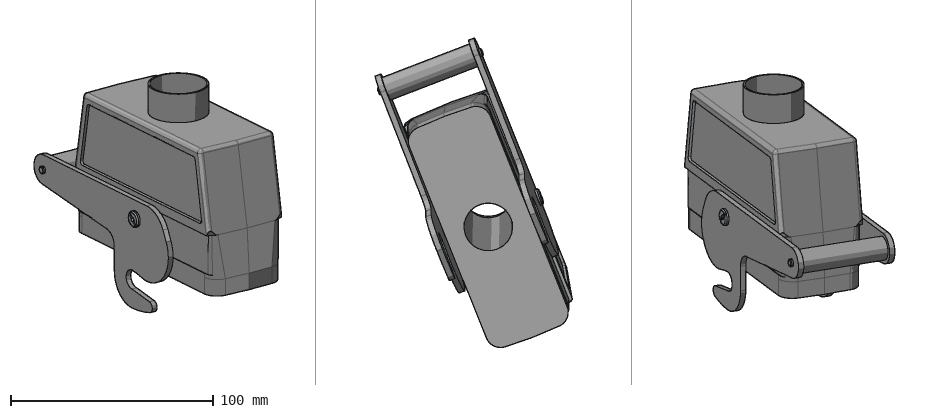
import cadquery as cq
import math

END_SLOPE = 0.035

BASE_HALF_LENGTH = 60.0
BASE_HALF_WIDTH = 21.5
BASE_CORNER = 7.6
BASE_TOP = 8.8

WAIST_TOP = 32.1
WAIST_HALF_LENGTH = 58.2
WAIST_CORNER = 4.2

PANEL_BOTTOM = 11.0
PANEL_HALF_LENGTH = 56.8
PANEL_HALF_WIDTH = 21.2
PANEL_ROUND = 2.2

CAP_TOP = 75.5
CAP_HALF_WIDTH = 22.8
CAP_TOP_HALF_LENGTH = 50.4
CAP_ROUND = 2.2
CORNER_CUT_X = 1.8
CORNER_CUT_Y = 4.1
CORNER_CUT_Z = 7.3

LABEL_TOP = 70.7
LABEL_BOTTOM = 37.0
LABEL_TOP_HALF_LENGTH = 45.7
LABEL_BOTTOM_HALF_LENGTH = 51.7
LABEL_CORNER = 1.8
LABEL_DEPTH = 1.3
LABEL_WALL_ANGLE = 15.0

TUBE_TOP = 90.5
TUBE_DIAMETER = 30.0
SOCKET_DIAMETER = 28.3
SOCKET_DEPTH = 13.9
BORE_DIAMETER = 24.0

PLATE_INNER = 23.4
PLATE_THICKNESS = 2.9
PLATE_OUTER = PLATE_INNER + PLATE_THICKNESS

GRIP_X = -78.1
GRIP_Z = 26.7
GRIP_DIAMETER = 12.0
GRIP_END_RADIUS = 7.9
ARM_ANGLE = math.radians(7.1)

SHOULDER_X = 9.8
SHOULDER_RADIUS = 15.3
CAM_X = 10.0
CAM_Z = 12.7
CAM_RADIUS = 18.0

HOOK_LEFT = -17.8
ARM_FILLET = 7.3
SLOT_X = -2.8
SLOT_Z = -8.2
SLOT_RADIUS = 5.0
TIP_X = 11.5
TIP_Z = -18.2
TIP_RADIUS = 2.9

RIVET_DIAMETER = 4.0
RIVET_HEIGHT = 1.3
RIVET_CHAMFER = 0.5

PIVOT_X = 0.0
PIVOT_Z = 24.8
PIVOT_DIAMETER = 5.4
PIVOT_HEAD_DIAMETER = 8.5
PIVOT_HEAD_HEIGHT = 1.8
PIVOT_HEAD_CHAMFER = 0.7
DRIVE_SLOT_WIDTH = 1.2
DRIVE_SLOT_DEPTH = 0.9
DRIVE_SLOT_ANGLE = 45.0
DRIVE_HOLE_DIAMETER = 2.2
DRIVE_HOLE_DEPTH = 1.5


def round_plan(z, half_length, half_width, corner):
    """Closed outline at height z: ridged ends, with corners tangent to the side and end faces."""
    tilt = math.atan(END_SLOPE)
    centre_y = half_width - corner
    centre_x = half_length - centre_y * END_SLOPE - corner / math.cos(tilt)

    def on_corner(angle, sign_x, sign_y):
        x = centre_x + corner * math.cos(angle)
        y = centre_y + corner * math.sin(angle)
        return (sign_x * x, sign_y * y)

    start, end = tilt, math.pi / 2
    middle = (start + end) / 2
    return (
        cq.Workplane("XY", origin=(0, 0, z))
        .moveTo(half_length, 0)
        .lineTo(*on_corner(start, 1, 1))
        .threePointArc(on_corner(middle, 1, 1), on_corner(end, 1, 1))
        .lineTo(*on_corner(end, -1, 1))
        .threePointArc(on_corner(middle, -1, 1), on_corner(start, -1, 1))
        .lineTo(-half_length, 0)
        .lineTo(*on_corner(start, -1, -1))
        .threePointArc(on_corner(middle, -1, -1), on_corner(end, -1, -1))
        .lineTo(*on_corner(end, 1, -1))
        .threePointArc(on_corner(middle, 1, -1), on_corner(start, 1, -1))
        .close()
    )


def sharp_plan(z, half_length):
    """Closed outline of the cap at height z: a long hexagon with a shallow ridge at each end."""
    corner_x = half_length - CAP_HALF_WIDTH * END_SLOPE
    points = [
        (half_length, 0), (corner_x, CAP_HALF_WIDTH), (-corner_x, CAP_HALF_WIDTH),
        (-half_length, 0), (-corner_x, -CAP_HALF_WIDTH), (corner_x, -CAP_HALF_WIDTH),
    ]
    return cq.Workplane("XY", origin=(0, 0, z)).polyline(points).close()


def loft_between(lower, upper):
    """Ruled solid between two closed outlines."""
    wires = [lower.wires().val(), upper.wires().val()]
    return cq.Workplane(cq.Solid.makeLoft(wires, True))


def make_lower_hood():
    base_plan = (BASE_HALF_LENGTH, BASE_HALF_WIDTH, BASE_CORNER)
    base = round_plan(0, *base_plan).extrude(BASE_TOP)
    waist = loft_between(
        round_plan(BASE_TOP, *base_plan),
        round_plan(WAIST_TOP, WAIST_HALF_LENGTH, BASE_HALF_WIDTH, WAIST_CORNER),
    )
    panel_height = WAIST_TOP - PANEL_BOTTOM
    keep = (
        cq.Workplane("XY")
        .box(2 * BASE_HALF_LENGTH, 2 * BASE_HALF_WIDTH, PANEL_BOTTOM, centered=(True, True, False))
        .faces(">Z").workplane()
        .rect(2 * BASE_HALF_LENGTH, 2 * PANEL_HALF_WIDTH).extrude(panel_height)
    )
    panels = (
        cq.Workplane("XY", origin=(0, 0, PANEL_BOTTOM))
        .rect(2 * PANEL_HALF_LENGTH, 2 * PANEL_HALF_WIDTH).extrude(panel_height)
        .edges("|Z").fillet(PANEL_ROUND)
    )
    return base.union(waist.intersect(keep)).union(panels)


def make_corner_cutter(sign_x, sign_y):
    """Block whose slanted face trims one lower corner of the cap."""
    corner_x = WAIST_HALF_LENGTH - CAP_HALF_WIDTH * END_SLOPE
    face = cq.Plane(
        origin=(sign_x * (corner_x - CORNER_CUT_X), sign_y * CAP_HALF_WIDTH, WAIST_TOP),
        normal=(sign_x / CORNER_CUT_X, sign_y / CORNER_CUT_Y, -1 / CORNER_CUT_Z),
    )
    size = 4 * CORNER_CUT_Z
    return cq.Workplane(face).rect(size, size).extrude(size)


def make_cap():
    cap = loft_between(
        sharp_plan(WAIST_TOP, WAIST_HALF_LENGTH), sharp_plan(CAP_TOP, CAP_TOP_HALF_LENGTH)
    )
    corners = cap.edges("<Y or >Y").edges("not #Z")
    cap = cap.newObject(corners.vals() + cap.faces(">Z").edges().vals()).fillet(CAP_ROUND)
    for sign_x in (1, -1):
        for sign_y in (1, -1):
            cap = cap.cut(make_corner_cutter(sign_x, sign_y))
    return cap


def make_label_recess(side):
    """Tapered cutter for the recess in the side of the cap towards +Y (side 1) or -Y (side -1)."""
    points = [
        (-LABEL_TOP_HALF_LENGTH, LABEL_TOP), (LABEL_TOP_HALF_LENGTH, LABEL_TOP),
        (LABEL_BOTTOM_HALF_LENGTH, LABEL_BOTTOM), (-LABEL_BOTTOM_HALF_LENGTH, LABEL_BOTTOM),
    ]
    outline = cq.Sketch().polygon(points + points[:1]).vertices().fillet(LABEL_CORNER)
    return (
        cq.Workplane("XZ", origin=(0, side * CAP_HALF_WIDTH, 0))
        .placeSketch(outline)
        .extrude(side * LABEL_DEPTH, taper=LABEL_WALL_ANGLE)
    )


def make_hood():
    hood = make_lower_hood().union(make_cap())
    for side in (1, -1):
        hood = hood.cut(make_label_recess(side))
    tube = (
        cq.Workplane("XY", origin=(0, 0, CAP_TOP))
        .circle(TUBE_DIAMETER / 2).extrude(TUBE_TOP - CAP_TOP)
    )
    hood = hood.union(tube)
    bore = cq.Workplane("XY").circle(BORE_DIAMETER / 2).extrude(TUBE_TOP)
    socket = (
        cq.Workplane("XY", origin=(0, 0, TUBE_TOP))
        .circle(SOCKET_DIAMETER / 2).extrude(-SOCKET_DEPTH)
    )
    return hood.cut(bore).cut(socket)


def polar(x, z, radius, angle):
    """Point on the circle around (x, z), with the angle in radians from +X towards +Z."""
    return (x + radius * math.cos(angle), z + radius * math.sin(angle))


def make_plate():
    """Side plate of the lever on the +Y side."""
    top = GRIP_Z + GRIP_END_RADIUS
    right, up, left, down = 0, math.pi / 2, math.pi, -math.pi / 2

    shoulder_z = top - SHOULDER_RADIUS
    dx, dz = CAM_X - SHOULDER_X, CAM_Z - shoulder_z
    edge = math.atan2(dz, dx) + math.acos((SHOULDER_RADIUS - CAM_RADIUS) / math.hypot(dx, dz))

    slot_entry = polar(SLOT_X, SLOT_Z, SLOT_RADIUS, up)
    cam_end = polar(CAM_X, CAM_Z, CAM_RADIUS, math.radians(-105))

    hook_radius = SLOT_X - HOOK_LEFT
    hook_bottom = SLOT_Z - hook_radius
    reach, rise = TIP_X - SLOT_X, TIP_Z - hook_bottom
    belly_radius = (reach**2 + rise**2 - TIP_RADIUS**2) / (2 * (rise - TIP_RADIUS))
    belly_end = math.atan2(rise - belly_radius, reach)

    arm_normal = down - ARM_ANGLE
    fillet_x = HOOK_LEFT - ARM_FILLET
    run = (fillet_x - GRIP_X) * math.sin(ARM_ANGLE)
    fillet_z = GRIP_Z - (GRIP_END_RADIUS + ARM_FILLET + run) / math.cos(ARM_ANGLE)
    fillet_end = arm_normal + math.pi

    outline = (
        cq.Workplane("XZ", origin=(0, PLATE_OUTER, 0))
        .moveTo(GRIP_X, top)
        .lineTo(SHOULDER_X, top)
        .threePointArc(
            polar(SHOULDER_X, shoulder_z, SHOULDER_RADIUS, (up + edge) / 2),
            polar(SHOULDER_X, shoulder_z, SHOULDER_RADIUS, edge),
        )
        .lineTo(*polar(CAM_X, CAM_Z, CAM_RADIUS, edge))
        .threePointArc(polar(CAM_X, CAM_Z, CAM_RADIUS, math.radians(-40)), cam_end)
        .tangentArcPoint(slot_entry, relative=False)
        .threePointArc(
            polar(SLOT_X, SLOT_Z, SLOT_RADIUS, left), polar(SLOT_X, SLOT_Z, SLOT_RADIUS, down)
        )
        .lineTo(*polar(TIP_X, TIP_Z, TIP_RADIUS, math.radians(80)))
        .threePointArc(
            polar(TIP_X, TIP_Z, TIP_RADIUS, right),
            polar(TIP_X, TIP_Z, TIP_RADIUS, belly_end),
        )
        .tangentArcPoint((SLOT_X, hook_bottom), relative=False)
        .threePointArc(
            polar(SLOT_X, SLOT_Z, hook_radius, math.radians(-135)), (HOOK_LEFT, SLOT_Z)
        )
        .lineTo(HOOK_LEFT, fillet_z)
        .threePointArc(
            polar(fillet_x, fillet_z, ARM_FILLET, fillet_end / 2),
            polar(fillet_x, fillet_z, ARM_FILLET, fillet_end),
        )
        .lineTo(*polar(GRIP_X, GRIP_Z, GRIP_END_RADIUS, arm_normal))
        .threePointArc(polar(GRIP_X, GRIP_Z, GRIP_END_RADIUS, left), (GRIP_X, top))
        .close()
    )
    return outline.extrude(PLATE_THICKNESS)


def outward_cylinder(x, z, start_y, diameter, length):
    """Cylinder along +Y that starts at start_y."""
    return cq.Workplane("XZ", origin=(x, start_y, z)).circle(diameter / 2).extrude(-length)


def make_rivet():
    rivet = outward_cylinder(GRIP_X, GRIP_Z, PLATE_OUTER, RIVET_DIAMETER, RIVET_HEIGHT)
    return rivet.faces(">Y").chamfer(RIVET_CHAMFER)


def make_pivot():
    """Slotted pivot screw on the +Y side, reaching in to the hood's side panel."""
    shank = outward_cylinder(
        PIVOT_X, PIVOT_Z, PANEL_HALF_WIDTH, PIVOT_DIAMETER, PLATE_OUTER - PANEL_HALF_WIDTH
    )
    head = outward_cylinder(PIVOT_X, PIVOT_Z, PLATE_OUTER, PIVOT_HEAD_DIAMETER, PIVOT_HEAD_HEIGHT)
    head = head.faces(">Y").chamfer(PIVOT_HEAD_CHAMFER)
    head_face = PLATE_OUTER + PIVOT_HEAD_HEIGHT
    slot = (
        cq.Workplane("XZ", origin=(PIVOT_X, head_face, PIVOT_Z))
        .transformed(rotate=(0, 0, -DRIVE_SLOT_ANGLE))
        .rect(PIVOT_HEAD_DIAMETER, DRIVE_SLOT_WIDTH)
        .extrude(DRIVE_SLOT_DEPTH)
    )
    hole = outward_cylinder(
        PIVOT_X, PIVOT_Z, head_face - DRIVE_HOLE_DEPTH, DRIVE_HOLE_DIAMETER, DRIVE_HOLE_DEPTH
    )
    return shank.union(head.cut(slot).cut(hole))


def make_lever():
    half = make_plate().union(make_rivet()).union(make_pivot())
    grip = outward_cylinder(GRIP_X, GRIP_Z, -PLATE_INNER, GRIP_DIAMETER, 2 * PLATE_INNER)
    return half.union(half.mirror("XZ")).union(grip)


hood = make_hood()
lever = make_lever()

result = cq.Compound.makeCompound([hood.val(), lever.val()])